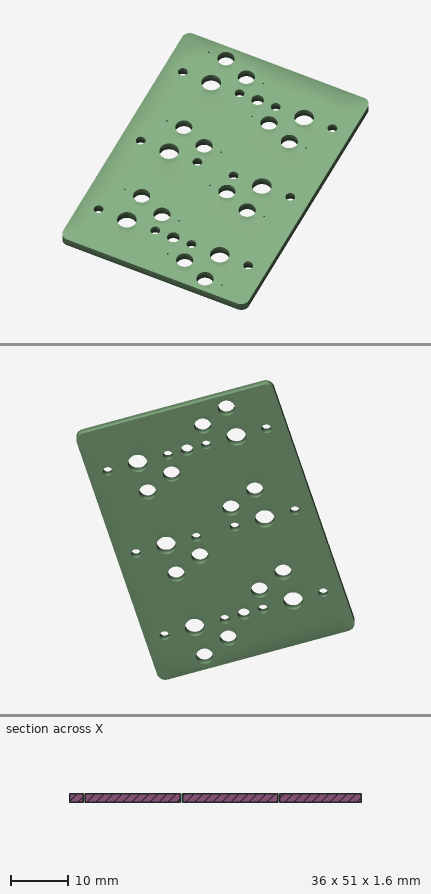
import cadquery as cq

COLUMNS = 2
ROWS = 3
COLUMN_PITCH = 18.0
ROW_PITCH = 17.0
THICKNESS = 1.6
CORNER_RADIUS = 1.5

CENTER_POST_DIAMETER = 3.43
SIDE_PEG_DIAMETER = 1.7
CONTACT_DIAMETER = 3.0
VIA_DIAMETER = 0.3
MOUNT_DIAMETER = 2.2

SIDE_PEG_OFFSET = 5.5
UPPER_CONTACT = (0.0, 5.95)
LOWER_CONTACT = (5.0, 3.75)
VIA_TO_CONTACT = 3.275

PLATE_WIDTH = COLUMNS * COLUMN_PITCH
PLATE_LENGTH = ROWS * ROW_PITCH


def make_plate():
    """Flat plate centered on X and Y, standing on Z = 0, with rounded corners."""
    plate = cq.Workplane("XY").box(PLATE_WIDTH, PLATE_LENGTH, THICKNESS, centered=(True, True, False))
    return plate.edges("|Z").fillet(CORNER_RADIUS)


def through_holes(points, diameter):
    """Cylinders that cut through the whole plate at the given points."""
    return cq.Workplane("XY").pushPoints(points).circle(diameter / 2).extrude(THICKNESS)


def cut_switch(plate, center, turn):
    """Cut the holes of one switch; turn = -1 rotates the pattern by half a turn."""

    def place(offset):
        return (center[0] + turn * offset[0], center[1] + turn * offset[1])

    side_pegs = [(-SIDE_PEG_OFFSET, 0.0), (SIDE_PEG_OFFSET, 0.0)]
    contacts = [UPPER_CONTACT, LOWER_CONTACT]
    vias = [
        (UPPER_CONTACT[0] - VIA_TO_CONTACT, UPPER_CONTACT[1]),
        (LOWER_CONTACT[0] + VIA_TO_CONTACT, LOWER_CONTACT[1]),
    ]
    hole_groups = [
        ([(0.0, 0.0)], CENTER_POST_DIAMETER),
        (side_pegs, SIDE_PEG_DIAMETER),
        (contacts, CONTACT_DIAMETER),
        (vias, VIA_DIAMETER),
    ]
    for offsets, diameter in hole_groups:
        points = [place(offset) for offset in offsets]
        plate = plate.cut(through_holes(points, diameter))
    return plate


def cut_mount_holes(plate):
    """Cut the mounting holes on the plate's long center line, level with the outer rows."""
    outer_row_y = (ROWS - 1) / 2 * ROW_PITCH
    points = [(0.0, -outer_row_y), (0.0, outer_row_y)]
    return plate.cut(through_holes(points, MOUNT_DIAMETER))


result = make_plate()
for column in range(COLUMNS):
    column_x = (column - (COLUMNS - 1) / 2) * COLUMN_PITCH
    column_turn = 1 if column_x < 0 else -1
    for row in range(ROWS):
        row_y = (row - (ROWS - 1) / 2) * ROW_PITCH
        result = cut_switch(result, (column_x, row_y), column_turn)
result = cut_mount_holes(result)